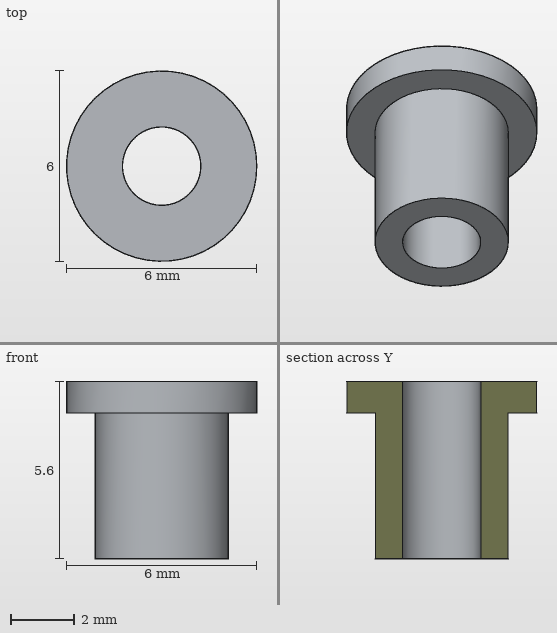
import cadquery as cq

flange_diameter = 6.0
sleeve_diameter = 4.2
bore_diameter = 2.46
total_height = 5.6
flange_thickness = 1.0
sleeve_length = total_height - flange_thickness

sleeve = cq.Workplane("XY").circle(sleeve_diameter / 2).extrude(sleeve_length)

flange = (
    cq.Workplane("XY")
    .workplane(offset=sleeve_length)
    .circle(flange_diameter / 2)
    .extrude(flange_thickness)
)

bore = cq.Workplane("XY").circle(bore_diameter / 2).extrude(total_height)

result = sleeve.union(flange).cut(bore)